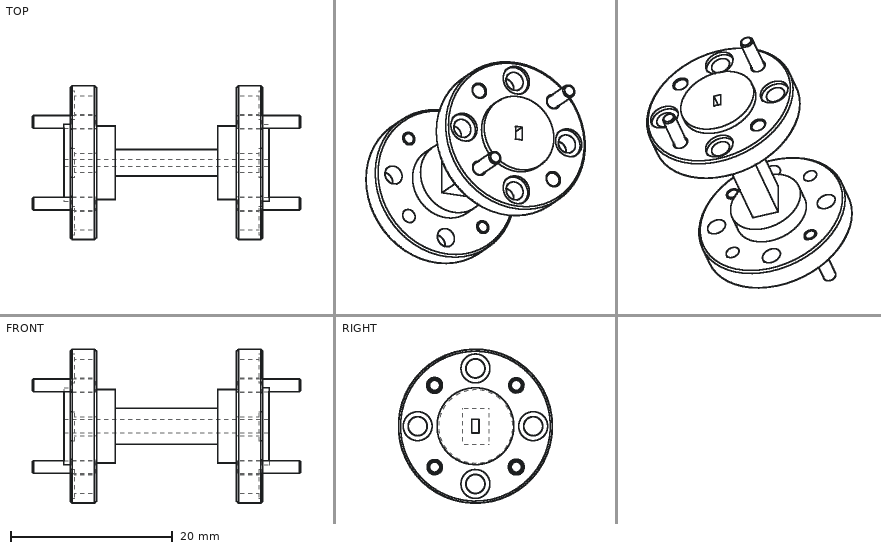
import cadquery as cq
import math

overall_length = 33.15
body_length = 25.4
boss_height = 0.8
flange_thickness = 3.25
collar_height = 2.32

flange_outer_x = body_length / 2 - boss_height
flange_inner_x = flange_outer_x - flange_thickness
collar_inner_x = flange_inner_x - collar_height

flange_diameter = 19.05
flange_chamfer = 0.25
boss_diameter = 9.5
collar_diameter = 9.1
tube_width = 3.28
tube_height = 4.48
channel_width = 0.85
channel_height = 1.65

bolt_circle_diameter = 14.3
screw_hole_diameter = 2.32
counterbore_diameter = 3.58
counterbore_depth = 0.5
pin_diameter = 1.6
pin_chamfer = 0.15
socket_diameter = 1.7
hole_chamfer = 0.13

screw_angles = (0, 90, 180, 270)
left_pin_angles = (135, 315)
right_pin_angles = (45, 225)


def rod(diameter, start_x, end_x, center=(0, 0)):
    """Round bar parallel to X between two X positions, centred at (Y, Z)."""
    start_plane = cq.Workplane("YZ", origin=(start_x, 0, 0)).center(*center)
    return start_plane.circle(diameter / 2).extrude(end_x - start_x)


def bar(width, height, half_length):
    """Rectangular bar along X, centred on the origin."""
    return cq.Workplane("XY").box(2 * half_length, width, height)


def on_bolt_circle(angle):
    """(Y, Z) position on the bolt circle, with the angle taken from +Y toward +Z."""
    radius = bolt_circle_diameter / 2
    turn = math.radians(angle)
    return (radius * math.cos(turn), radius * math.sin(turn))


def chamfered_hole(diameter, inner_x, outer_x, center):
    """Cutter for a through hole whose mouth at outer_x widens in a 45 degree chamfer."""
    hole = rod(diameter, inner_x, outer_x, center)
    mouth = cq.Solid.makeCone(
        diameter / 2 + hole_chamfer,
        diameter / 2,
        hole_chamfer,
        pnt=cq.Vector(outer_x, *center),
        dir=cq.Vector(inner_x - outer_x, 0, 0),
    )
    return hole.union(cq.Workplane(mouth))


def make_flange(side, pin_angles, socket_angles):
    """Flange with boss, collar and holes; side is -1 at the -X end and +1 at the +X end."""
    inner_x = side * flange_inner_x
    outer_x = side * flange_outer_x
    flange = rod(flange_diameter, inner_x, outer_x).edges().chamfer(flange_chamfer)
    flange = flange.union(rod(boss_diameter, outer_x, side * body_length / 2))
    flange = flange.union(rod(collar_diameter, side * collar_inner_x, inner_x))

    for angle in screw_angles:
        center = on_bolt_circle(angle)
        counterbore_floor_x = outer_x - side * counterbore_depth
        flange = flange.cut(rod(screw_hole_diameter, inner_x, outer_x, center))
        flange = flange.cut(rod(counterbore_diameter, counterbore_floor_x, outer_x, center))

    for hole_diameter, angles in ((pin_diameter, pin_angles), (socket_diameter, socket_angles)):
        for angle in angles:
            flange = flange.cut(chamfered_hole(hole_diameter, inner_x, outer_x, on_bolt_circle(angle)))
    return flange


def make_waveguide():
    """Rectangular tube joining two flanges, with the channel running end to end."""
    body = bar(tube_width, tube_height, collar_inner_x)
    body = body.union(make_flange(-1, left_pin_angles, right_pin_angles))
    body = body.union(make_flange(1, right_pin_angles, left_pin_angles))
    return body.cut(bar(channel_width, channel_height, body_length / 2))


def make_pin(side, angle):
    """Alignment pin, flush with the inner flange face and chamfered at both ends."""
    pin = rod(pin_diameter, side * flange_inner_x, side * overall_length / 2, on_bolt_circle(angle))
    return pin.faces("<X or >X").chamfer(pin_chamfer)


waveguide = make_waveguide().solids()
pins = []
for side, pin_angles in ((-1, left_pin_angles), (1, right_pin_angles)):
    for angle in pin_angles:
        pins.append(make_pin(side, angle).solids().val())

result = cq.Compound.makeCompound([waveguide.val(), *pins])